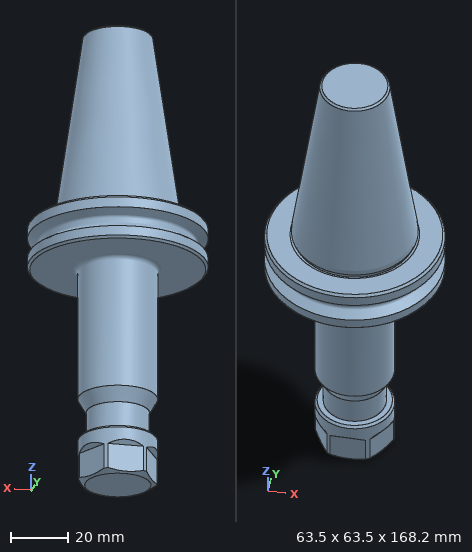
import cadquery as cq
import math

total_height = 168.2

gauge_height = 100.0
gauge_radius = 22.2
taper_per_length = 7 / 24
taper_top_radius = gauge_radius - (total_height - gauge_height) * taper_per_length / 2
taper_top_chamfer = 0.7
undercut_height = 1.2
undercut_depth = 0.8
undercut_sink = 0.7
undercut_mouth_radius = 22.7

flange_radius = 63.5 / 2
flange_top = 96.9
flange_bottom = 81.0
flange_chamfer = 0.8
groove_radius = 56.0 / 2
groove_middle = 88.8
groove_mouth_width = 7.0
groove_wall_angle = 30
groove_corner_radius = 0.8

shank_radius = 28.1 / 2
shank_bottom = 32.1
shank_fillet = 1.7
neck_radius = 11.1
neck_top = 27.1

nut_radius = shank_radius
nut_top = 17.3
nut_top_chamfer = 0.8
nut_bottom_radius = 11.6
nut_bottom_chamfer_height = 1.3
nut_across_flats = 25.0
hex_top = 10.5


def taper_shank():
    profile = (
        cq.Workplane("XZ")
        .moveTo(0, flange_top)
        .lineTo(gauge_radius, flange_top)
        .lineTo(gauge_radius, gauge_height)
        .lineTo(taper_top_radius, total_height)
        .lineTo(0, total_height)
        .close()
    )
    return profile.revolve(360, (0, 0), (0, 1)).faces(">Z").chamfer(taper_top_chamfer)


def undercut():
    """Sharp ring groove in the corner between the taper shank and the flange."""
    profile = (
        cq.Workplane("XZ")
        .moveTo(gauge_radius, flange_top + undercut_height)
        .lineTo(gauge_radius - undercut_depth, flange_top - undercut_sink)
        .lineTo(undercut_mouth_radius, flange_top)
        .close()
    )
    return profile.revolve(360, (0, 0), (0, 1))


def flange():
    disc = (
        cq.Workplane("XY", origin=(0, 0, flange_bottom))
        .circle(flange_radius)
        .extrude(flange_top - flange_bottom)
        .edges()
        .chamfer(flange_chamfer)
    )
    wall_rise = (flange_radius - groove_radius) * math.tan(math.radians(groove_wall_angle))
    mouth_half = groove_mouth_width / 2
    floor_half = mouth_half - wall_rise
    groove = (
        cq.Workplane("XZ")
        .moveTo(flange_radius, groove_middle - mouth_half)
        .lineTo(groove_radius, groove_middle - floor_half)
        .lineTo(groove_radius, groove_middle + floor_half)
        .lineTo(flange_radius, groove_middle + mouth_half)
        .close()
        .revolve(360, (0, 0), (0, 1))
    )
    at_floor = cq.selectors.RadiusNthSelector(0)
    return disc.cut(groove.edges("%CIRCLE").edges(at_floor).fillet(groove_corner_radius))


def tool_shank():
    diagonal = shank_fillet * (1 - math.sqrt(0.5))
    profile = (
        cq.Workplane("XZ")
        .moveTo(0, nut_top)
        .lineTo(neck_radius, nut_top)
        .lineTo(neck_radius, neck_top)
        .lineTo(shank_radius, shank_bottom)
        .lineTo(shank_radius, flange_bottom - shank_fillet)
        .threePointArc(
            (shank_radius + diagonal, flange_bottom - diagonal),
            (shank_radius + shank_fillet, flange_bottom),
        )
        .lineTo(0, flange_bottom)
        .close()
    )
    return profile.revolve(360, (0, 0), (0, 1))


def clamping_nut():
    body = (
        cq.Workplane("XZ")
        .lineTo(nut_bottom_radius, 0)
        .lineTo(nut_radius, nut_bottom_chamfer_height)
        .lineTo(nut_radius, nut_top - nut_top_chamfer)
        .lineTo(nut_radius - nut_top_chamfer, nut_top)
        .lineTo(0, nut_top)
        .close()
        .revolve(360, (0, 0), (0, 1))
    )
    across_corners = nut_across_flats / math.cos(math.pi / 6)
    hexagon = cq.Workplane("XY").polygon(6, across_corners).extrude(hex_top)
    runout = (
        cq.Workplane("XY", origin=(0, 0, hex_top))
        .polygon(6, across_corners)
        .extrude(nut_top - hex_top, taper=-45)
    )
    return body.intersect(hexagon.union(runout))


result = taper_shank().union(flange()).cut(undercut()).union(tool_shank()).union(clamping_nut())